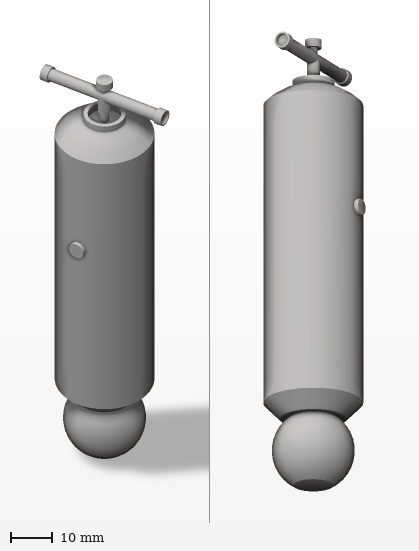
import cadquery as cq
import math

TANK_RADIUS = 12.0
TANK_BASE_RADIUS = 8.0
TAPER_HEIGHT = 4.0
CYLINDER_HEIGHT = 75.0
DOME_HEIGHT = 5.0
COLLAR_RADIUS = 5.0
COLLAR_BORE_RADIUS = 4.0
COLLAR_RISE = 6.0
COLLAR_DEPTH = 2.0
CYLINDER_TOP = TAPER_HEIGHT + CYLINDER_HEIGHT
RIM_Z = CYLINDER_TOP + COLLAR_RISE
COLLAR_FLOOR_Z = RIM_Z - COLLAR_DEPTH

BALL_RADIUS = 10.0
BALL_CENTER_DROP = 8.0
BALL_STAND_DROP = 8.7

SPINDLE_RADIUS = 1.07
SLEEVE_RADIUS = 1.6
SLEEVE_RISE = 1.0
BAR_RISE = 5.6
BAR_RADIUS = 1.6
BAR_LENGTH = 34.1
END_RADIUS = 2.0
END_LENGTH = 2.0
KNOB_RADIUS = 2.0
KNOB_HEIGHT = 2.0
KNOB_TOP_RISE = 10.3
BAR_Z = RIM_Z + BAR_RISE
SLEEVE_Z = RIM_Z + SLEEVE_RISE
KNOB_TOP_Z = RIM_Z + KNOB_TOP_RISE

BUTTON_RADIUS = 2.0
BUTTON_RISE = 1.0
BUTTON_Z = 51.7


def upright_cylinder(radius, bottom, top):
    return cq.Workplane("XY").workplane(offset=bottom).circle(radius).extrude(top - bottom)


def cross_cylinder(radius, start, end):
    """Cylinder on the bar axis, running from x = start to x = end."""
    return cq.Workplane("YZ", origin=(start, 0, BAR_Z)).circle(radius).extrude(end - start)


def make_tank():
    dome_radius = (TANK_RADIUS**2 + DOME_HEIGHT**2) / (2 * DOME_HEIGHT)
    dome_center_z = CYLINDER_TOP + DOME_HEIGHT - dome_radius

    def dome_z(radius):
        return dome_center_z + math.sqrt(dome_radius**2 - radius**2)

    dome_mid_radius = (TANK_RADIUS + COLLAR_RADIUS) / 2
    return (
        cq.Workplane("XZ")
        .lineTo(TANK_BASE_RADIUS, 0)
        .lineTo(TANK_RADIUS, TAPER_HEIGHT)
        .lineTo(TANK_RADIUS, CYLINDER_TOP)
        .threePointArc(
            (dome_mid_radius, dome_z(dome_mid_radius)),
            (COLLAR_RADIUS, dome_z(COLLAR_RADIUS)),
        )
        .lineTo(COLLAR_RADIUS, RIM_Z)
        .lineTo(COLLAR_BORE_RADIUS, RIM_Z)
        .lineTo(COLLAR_BORE_RADIUS, COLLAR_FLOOR_Z)
        .lineTo(0, COLLAR_FLOOR_Z)
        .close()
        .revolve(360, (0, 0), (0, 1))
    )


def make_ball():
    top_radius = math.sqrt(BALL_RADIUS**2 - BALL_CENTER_DROP**2)
    stand_radius = math.sqrt(BALL_RADIUS**2 - BALL_STAND_DROP**2)
    stand_z = -BALL_CENTER_DROP - BALL_STAND_DROP
    return (
        cq.Workplane("XZ")
        .lineTo(top_radius, 0)
        .threePointArc((BALL_RADIUS, -BALL_CENTER_DROP), (stand_radius, stand_z))
        .lineTo(0, stand_z)
        .close()
        .revolve(360, (0, 0), (0, 1))
    )


def make_valve():
    knob_bottom = KNOB_TOP_Z - KNOB_HEIGHT
    spindle = upright_cylinder(SPINDLE_RADIUS, COLLAR_FLOOR_Z, knob_bottom)
    sleeve = upright_cylinder(SLEEVE_RADIUS, SLEEVE_Z, BAR_Z)
    knob = upright_cylinder(KNOB_RADIUS, knob_bottom, KNOB_TOP_Z)

    half_length = BAR_LENGTH / 2
    end_start = half_length - END_LENGTH
    bar = cross_cylinder(BAR_RADIUS, -end_start, end_start)
    valve = spindle.union(sleeve).union(knob).union(bar)
    for side in (-1, 1):
        cup = cross_cylinder(END_RADIUS, side * end_start, side * half_length)
        recess_start = half_length - END_LENGTH / 2
        recess = cross_cylinder(BAR_RADIUS, side * recess_start, side * half_length)
        valve = valve.union(cup.cut(recess))
    return valve


def make_button(tank):
    """Short round button whose inner face follows the tank wall."""
    face_y = -TANK_RADIUS - BUTTON_RISE
    blank = cq.Workplane("XZ", origin=(0, face_y, BUTTON_Z)).circle(BUTTON_RADIUS)
    return blank.extrude(-2 * BUTTON_RISE).cut(tank)


tank = make_tank()
ball = make_ball()
valve = make_valve()
button = make_button(tank)

result = cq.Compound.makeCompound([tank.val(), ball.val(), valve.val(), button.val()])